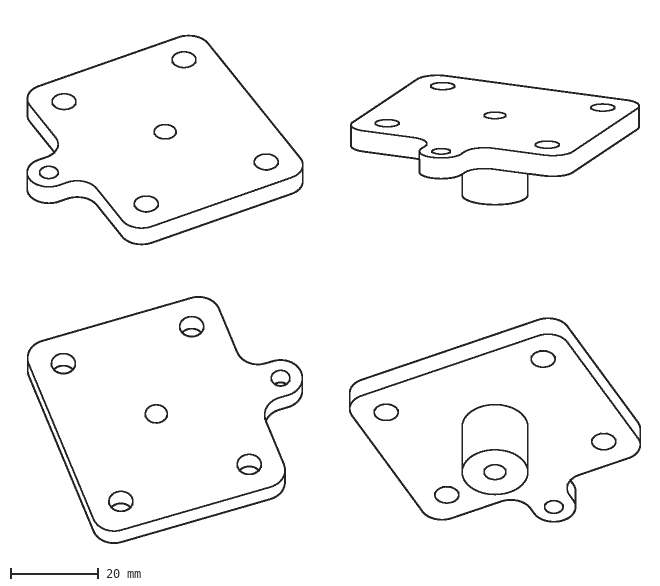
import cadquery as cq

total_length = 58.0
total_height = 19.0
plate_width = 55.0
plate_depth = 46.0
plate_thickness = 5.0
corner_radius = 5.0

lug_radius = 5.0
lug_root_radius = 5.0
lug_hole_diameter = 4.25

boss_diameter = 15.0
boss_height = total_height - plate_thickness
bore_diameter = 5.0

mount_hole_diameter = 5.45
mount_spacing_x = 40.0
mount_spacing_y = 31.0

plate_edge_y = -plate_depth / 2
lug_center_y = plate_depth / 2 - total_length + lug_radius
root_center_x = lug_radius + lug_root_radius
root_end_y = plate_edge_y - lug_root_radius


def make_plate():
    """Rounded rectangular plate with its underside at Z = 0."""
    plate = cq.Workplane("XY").rect(plate_width, plate_depth).extrude(plate_thickness)
    return plate.edges("|Z").fillet(corner_radius)


def make_lug():
    """Round-ended lug that flares into the plate edge through concave arcs."""
    return (
        cq.Workplane("XY")
        .moveTo(-root_center_x, plate_edge_y)
        .radiusArc((-lug_radius, root_end_y), lug_root_radius)
        .lineTo(-lug_radius, lug_center_y)
        .threePointArc((0, lug_center_y - lug_radius), (lug_radius, lug_center_y))
        .lineTo(lug_radius, root_end_y)
        .radiusArc((root_center_x, plate_edge_y), lug_root_radius)
        .lineTo(root_center_x, 0)
        .lineTo(-root_center_x, 0)
        .close()
        .extrude(plate_thickness)
    )


def make_boss():
    """Cylinder hanging below the plate."""
    return cq.Workplane("XY").circle(boss_diameter / 2).extrude(-boss_height)


def make_holes():
    """Cutters for the mounting holes, the lug hole and the central bore."""
    holes = (
        cq.Workplane("XY")
        .rarray(mount_spacing_x, mount_spacing_y, 2, 2)
        .circle(mount_hole_diameter / 2)
        .extrude(plate_thickness)
    )
    lug_hole = (
        cq.Workplane("XY")
        .center(0, lug_center_y)
        .circle(lug_hole_diameter / 2)
        .extrude(plate_thickness)
    )
    bore = (
        cq.Workplane("XY", origin=(0, 0, -boss_height))
        .circle(bore_diameter / 2)
        .extrude(total_height)
    )
    return holes.add(lug_hole).add(bore).combine()


result = make_plate().union(make_lug()).union(make_boss()).cut(make_holes())